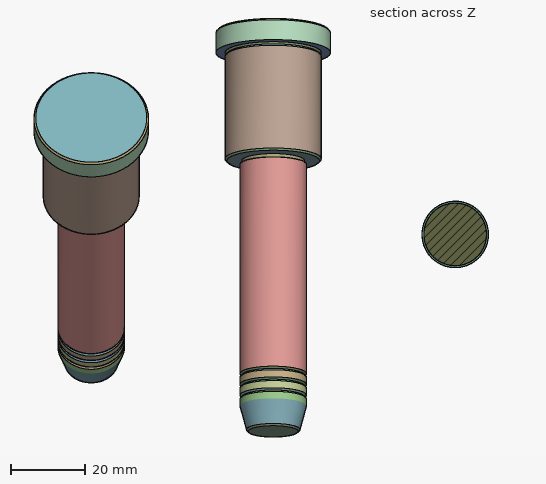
import cadquery as cq
import math

total_length = 111.0
head_thickness = 6.0
body_bottom = 75.0
head_bottom = total_length - head_thickness

head_radius = 31.0 / 2
body_radius = 26.0 / 2
shaft_radius = 18.0 / 2

edge_chamfer = 0.5

neck_height = 1.0
neck_depth = 0.5
neck_radius = shaft_radius - neck_depth

groove_width = 1.0
groove_depth = 0.5
ring_count = 3
ring_pitch = 3.0
lowest_ring_bottom = 9.0

nose_height = 7.0
nose_angle = math.radians(15)


def make_pin():
    """Revolve the stepped outline with its chamfers, relief neck and conical nose."""
    nose_tip_radius = shaft_radius - (nose_height - edge_chamfer) * math.tan(nose_angle)
    outline = (
        cq.Workplane("XZ")
        .lineTo(nose_tip_radius - edge_chamfer, 0)
        .lineTo(nose_tip_radius, edge_chamfer)
        .lineTo(shaft_radius, nose_height)
        .lineTo(shaft_radius, body_bottom - neck_height)
        .lineTo(neck_radius, body_bottom - neck_height)
        .lineTo(neck_radius, body_bottom)
        .lineTo(body_radius - edge_chamfer, body_bottom)
        .lineTo(body_radius, body_bottom + edge_chamfer)
        .lineTo(body_radius, head_bottom)
        .lineTo(head_radius, head_bottom)
        .lineTo(head_radius, total_length - edge_chamfer)
        .lineTo(head_radius - edge_chamfer, total_length)
        .lineTo(0, total_length)
        .close()
    )
    return outline.revolve(360, (0, 0, 0), (0, 1, 0))


def v_groove(surface_radius, bottom):
    """Triangular ring to cut from a cylinder of the given radius."""
    triangle = (
        cq.Workplane("XZ")
        .moveTo(surface_radius, bottom)
        .lineTo(surface_radius - groove_depth, bottom + groove_width / 2)
        .lineTo(surface_radius, bottom + groove_width)
        .close()
    )
    return triangle.revolve(360, (0, 0, 0), (0, 1, 0))


pin = make_pin().cut(v_groove(body_radius, head_bottom - groove_width))
for index in range(ring_count):
    pin = pin.cut(v_groove(shaft_radius, lowest_ring_bottom + index * ring_pitch))

result = pin